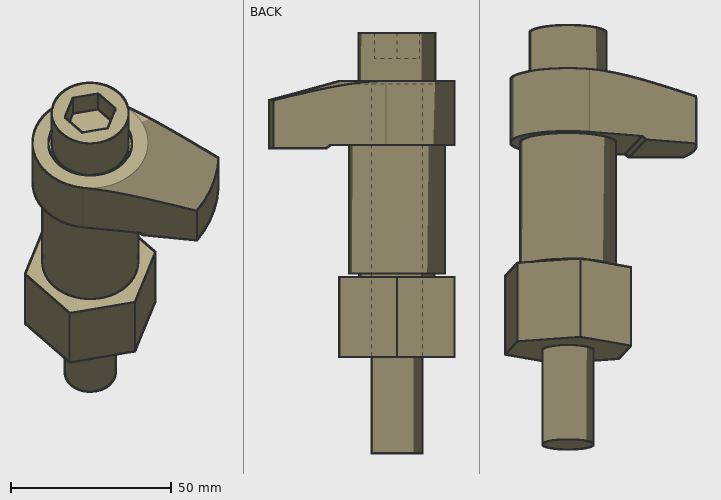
import cadquery as cq
import math

overall_length = 131.0
nut_bottom = 30.0
nut_height = 25.0
neck_height = 1.0
shank_length = 40.0
collar_height = 20.0

nut_top = nut_bottom + nut_height
shank_bottom = nut_top + neck_height
collar_bottom = shank_bottom + shank_length
collar_top = collar_bottom + collar_height

screw_diameter = 16.0
head_diameter = 24.0
head_height = 16.0
socket_across_flats = 14.0
socket_depth = 8.0
head_bottom = overall_length - head_height

nut_across_flats = 36.0
neck_diameter = 23.5

shank_diameter = 30.0
collar_radius = 18.0
counterbore_diameter = 26.0
arm_reach = 40.0
arm_tip_half_width = 11.0
arm_top_drop = 6.0
pad_height = 1.0
pad_start_x = 22.0
pad_step_length = 1.25
pad_bottom = collar_bottom - pad_height


def cylinder(diameter, bottom, top):
    return cq.Workplane("XY").workplane(offset=bottom).circle(diameter / 2).extrude(top - bottom)


def hexagon(across_flats, bottom, top):
    """Hexagonal prism with two flats facing -X and +X."""
    corner_diameter = across_flats / math.cos(math.radians(30))
    prism = cq.Workplane("XY").workplane(offset=bottom).polygon(6, corner_diameter).extrude(top - bottom)
    return prism.rotate((0, 0, 0), (0, 0, 1), 30)


def make_screw():
    shaft = cylinder(screw_diameter, 0, head_bottom)
    head = cylinder(head_diameter, head_bottom, overall_length)
    socket = hexagon(socket_across_flats, overall_length - socket_depth, overall_length)
    return shaft.union(head).cut(socket)


def make_nut():
    body = hexagon(nut_across_flats, nut_bottom, nut_top)
    neck = cylinder(neck_diameter, nut_top, shank_bottom)
    bore = cylinder(screw_diameter, nut_bottom, shank_bottom)
    return body.union(neck).cut(bore)


def make_arm():
    tip_x = math.sqrt(arm_reach**2 - arm_tip_half_width**2)
    tangent_angle = math.atan2(arm_tip_half_width, tip_x) + math.acos(collar_radius / arm_reach)
    tangent_x = collar_radius * math.cos(tangent_angle)
    tangent_y = collar_radius * math.sin(tangent_angle)
    plan = (
        cq.Workplane("XY")
        .workplane(offset=pad_bottom)
        .moveTo(tangent_x, -tangent_y)
        .lineTo(tip_x, -arm_tip_half_width)
        .threePointArc((arm_reach, 0), (tip_x, arm_tip_half_width))
        .lineTo(tangent_x, tangent_y)
        .close()
        .extrude(collar_top - pad_bottom)
    )
    turned_envelope = (
        cq.Workplane("XZ")
        .moveTo(0, pad_bottom)
        .lineTo(arm_reach, pad_bottom)
        .lineTo(arm_reach, collar_top - arm_top_drop)
        .lineTo(collar_radius, collar_top)
        .lineTo(0, collar_top)
        .close()
        .revolve(360, (0, 0, 0), (0, 1, 0))
    )
    clearance = (
        cq.Workplane("XZ")
        .moveTo(0, collar_bottom)
        .lineTo(pad_start_x - pad_step_length, collar_bottom)
        .lineTo(pad_start_x, pad_bottom)
        .lineTo(0, pad_bottom)
        .close()
        .extrude(collar_radius, both=True)
    )
    return plan.intersect(turned_envelope).cut(clearance)


def make_hook():
    shank = cylinder(shank_diameter, shank_bottom, collar_bottom)
    collar = cylinder(2 * collar_radius, collar_bottom, collar_top)
    bore = cylinder(screw_diameter, shank_bottom, collar_top)
    counterbore = cylinder(counterbore_diameter, head_bottom, collar_top)
    return shank.union(collar).union(make_arm()).cut(bore).cut(counterbore)


screw = make_screw()
nut = make_nut()
hook = make_hook()

result = cq.Compound.makeCompound([screw.val(), nut.val(), hook.val()])